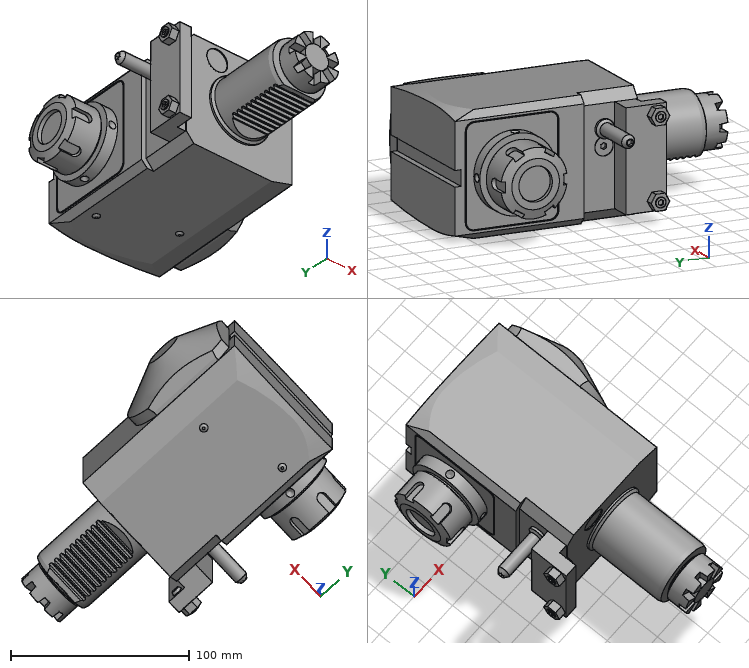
import cadquery as cq
import math


BODY_LENGTH = 116.1
BODY_HALF_HEIGHT = 37.7
BODY_LEFT = -42.1
BODY_RIGHT = 38.8
SIDE_HALF_HEIGHT = 33.5
LEFT_CHAMFER = BODY_HALF_HEIGHT - SIDE_HALF_HEIGHT
SLOPE_START = 23.7
RIGHT_HALF_HEIGHT = 33.1
RELIEF_LENGTH = 35.1
RELIEF_DEPTH = 3.3
RELIEF_HALF_HEIGHT = 31.3
RELIEF_CHAMFER = 5.5
KEY_HEIGHT = 9.8
KEY_DEPTH = 3.9

CROWN_X = -14.7
CROWN_HEIGHT = 36.8
CROWN_LEFT_RADIUS = 114.0
CROWN_RIGHT_RADIUS = 392.0
CROWN_OVERHANG = 18.4
BEVEL_SLOPE = 0.24
BEVEL_LENGTH = 27.6
CLEARANCE_HEIGHT = 73.6

SPINDLE_Y = 80.2
PANEL_LENGTH = 58.5
PANEL_HEIGHT = 63.8
PANEL_CORNER = 5.5
PANEL_GROOVE = 0.5
PANEL_GROOVE_DEPTH = 0.4
FLANGE_RADIUS = 24.1
FLANGE_END = -49.9
DIMPLE_RADIUS = 2.5
DIMPLE_DEPTH = 2.8
DIMPLE_COUNT = 4
NECK_RADIUS = 19.3
NUT_RADIUS = 20.8
NUT_START = -51.3
NUT_END = -71.8
NUT_SHOULDER = -69.7
NUT_NOSE_RADIUS = 14.9
NUT_BORE_RADIUS = 10.5
NUT_BORE_DEPTH = 2.8
NUT_SLOT_COUNT = 6
NUT_SLOT_WIDTH = 6.5
NUT_SLOT_FLOOR = 18.2
NUT_SLOT_END = -58.1

CAP_RADIUS = 40.3
CAP_RIM = 45.0
CAP_END = 58.9
CAP_END_RADIUS = 10.5
CAP_BACK_FLAT = 31.6
CAP_HALF_HEIGHT = 32.8
CAP_TAPER_START = 41.0
CAP_TAPER = 0.2

SHANK_RADIUS = 20.2
SHANK_LENGTH = 52.6
SHANK_CHAMFER = 0.7
SHANK_END_BEVEL = 2.5
COLLAR_RADIUS = 21.7
COLLAR_LENGTH = 1.3
RACK_LEVEL = 15.8
RACK_START = 9.2
RACK_DEPTH = 1.5
RACK_FLOOR = 1.5
RACK_MOUTH = 3.3
RACK_FIRST = 11.8
RACK_LAST = 47.7
RACK_COUNT = 10
RACK_PITCH = (RACK_LAST - RACK_FIRST) / (RACK_COUNT - 1)

TIP_NECK_RADIUS = 13.2
TIP_NUT_RADIUS = 16.2
TIP_NUT_START = 54.0
TIP_NUT_END = 67.9
TIP_CHAMFER = 0.5
TIP_SLOT_COUNT = 8
TIP_SLOT_DEPTH = 5.0
TIP_SLOT_FLOOR = 4.2
TIP_SLOT_MOUTH = 5.5
TIP_HUB_RADIUS = 8.5

RECESS_X = -16.0
RECESS_Z = 27.6
RECESS_RADIUS = 7.5
RECESS_DEPTH = 0.7

BRACKET_LEFT = -53.0
BRACKET_BACK = 14.4
BRACKET_STEP = 0.7
BRACKET_FRONT = -11.2
BRACKET_THICKNESS = 8.5
BOLT_Y = -4.8
BOLT_Z = 25.0
HEX_FLATS = 10.1
HEX_HEIGHT = 5.2
STUD_RADIUS = 3.1
STUD_PROUD = 0.7
STUD_BACK = 1.8
STUD_TIP_RADIUS = 2.4
STUD_SOCKET = 3.1
STUD_SOCKET_DEPTH = 1.1

PIN_Y = 21.0
PIN_Z = 16.5
PIN_RADIUS = 4.0
PIN_TIP = -71.8
PIN_TIP_RADIUS = 2.2
PIN_TIP_LENGTH = 2.5
PIN_COLLAR_RADIUS = 5.7
PIN_COLLAR_LENGTH = 1.7
PIN_CONE_LENGTH = 1.3
SCREW_Z = 6.0
SCREW_RADIUS = 5.7
SCREW_RECESS = 0.4
SOCKET_FLATS = 3.5
SOCKET_DEPTH = 2.2

PLUG_POSITIONS = [(-30.2, 88.9), (16.5, 72.0)]
PLUG_RADIUS = 2.4
PLUG_TIP_RADIUS = 0.7
PLUG_HEIGHT = 1.1

HEX_CORNER_RATIO = 2 / math.sqrt(3)
OVERLAP = 1.8

relief_left = BODY_LEFT + RELIEF_DEPTH


def left_facing(x, y, z):
    """Plane at x facing -X, with local x along -Y and local y along Z."""
    return cq.Workplane(cq.Plane(origin=(x, y, z), xDir=(0, -1, 0), normal=(-1, 0, 0)))


def turned_about_x(points, y, z):
    """Revolve (x, radius) points about the line parallel to X through (y, z)."""
    plane = cq.Workplane("XY", origin=(0, y, z))
    return plane.polyline(points).close().revolve(360, (0, 0, 0), (1, 0, 0))


def turned_about_shank(points):
    """Revolve (radius, distance in front of the mounting face) points about Y."""
    profile = [(radius, -distance) for radius, distance in points]
    return cq.Workplane("XY").polyline(profile).close().revolve(360, (0, 0, 0), (0, 1, 0))


def body_block(left, side_height, chamfer, length):
    """Body section with chamfered left edges and a tapering right side, from Y = 0 backwards."""
    upper = [
        (left, side_height),
        (left + chamfer, BODY_HALF_HEIGHT),
        (SLOPE_START, BODY_HALF_HEIGHT),
        (BODY_RIGHT, RIGHT_HALF_HEIGHT),
    ]
    lower = [(x, -z) for x, z in reversed(upper)]
    return cq.Workplane("XZ").polyline(upper + lower).close().extrude(-length)


def crown_height(x, radius):
    """Height of the crown arc at x."""
    return CROWN_HEIGHT - radius + math.sqrt(radius**2 - (x - CROWN_X) ** 2)


def crown_wire(workplane, rise):
    """Outline above the two crown arcs, lifted by rise."""
    left = BODY_LEFT - CROWN_OVERHANG
    right = BODY_RIGHT + CROWN_OVERHANG
    left_middle = (left + CROWN_X) / 2
    right_middle = (right + CROWN_X) / 2
    return (
        workplane.moveTo(left, crown_height(left, CROWN_LEFT_RADIUS) + rise)
        .threePointArc(
            (left_middle, crown_height(left_middle, CROWN_LEFT_RADIUS) + rise),
            (CROWN_X, CROWN_HEIGHT + rise),
        )
        .threePointArc(
            (right_middle, crown_height(right_middle, CROWN_RIGHT_RADIUS) + rise),
            (right, crown_height(right, CROWN_RIGHT_RADIUS) + rise),
        )
        .lineTo(right, CLEARANCE_HEIGHT)
        .lineTo(left, CLEARANCE_HEIGHT)
        .close()
    )


def crown_cutter():
    """Material above the bevelled crown at the back of the body."""
    back = crown_wire(cq.Workplane("XZ", origin=(0, BODY_LENGTH, 0)), 0)
    both = crown_wire(back.workplane(offset=BEVEL_LENGTH), BEVEL_LENGTH * BEVEL_SLOPE)
    return both.loft(ruled=True)


def make_body():
    """Body with set-back front stretch, crowned back bevels, keyway and face recess."""
    body = body_block(BODY_LEFT, SIDE_HALF_HEIGHT, LEFT_CHAMFER, BODY_LENGTH)
    relief = cq.Workplane("XY", origin=(BODY_LEFT, 0, 0)).box(
        BODY_RIGHT - BODY_LEFT, RELIEF_LENGTH, 2 * CLEARANCE_HEIGHT, centered=(False, False, True)
    )
    front = body_block(relief_left, RELIEF_HALF_HEIGHT, RELIEF_CHAMFER, RELIEF_LENGTH)
    body = body.cut(relief).union(front)
    cutter = crown_cutter()
    body = body.cut(cutter).cut(cutter.mirror("XY"))
    keyway = cq.Workplane("XY", origin=(0, BODY_LENGTH, 0)).box(
        2 * CLEARANCE_HEIGHT, 2 * KEY_DEPTH, KEY_HEIGHT
    )
    recess = (
        cq.Workplane("XZ", origin=(RECESS_X, 0, RECESS_Z))
        .circle(RECESS_RADIUS)
        .extrude(-RECESS_DEPTH)
    )
    return body.cut(keyway).cut(recess)


def panel_groove():
    """Fine rounded-rectangle groove around the spindle flange."""
    def block(inset):
        return (
            left_facing(BODY_LEFT, SPINDLE_Y, 0)
            .rect(PANEL_LENGTH - 2 * inset, PANEL_HEIGHT - 2 * inset)
            .extrude(-PANEL_GROOVE_DEPTH)
            .edges("|X")
            .fillet(PANEL_CORNER - inset)
        )

    return block(0).cut(block(PANEL_GROOVE))


def make_spindle():
    """Flange with conical dimples, neck and slotted clamping nut."""
    spindle = turned_about_x(
        [
            (BODY_LEFT + OVERLAP, 0),
            (BODY_LEFT + OVERLAP, FLANGE_RADIUS),
            (FLANGE_END, FLANGE_RADIUS),
            (FLANGE_END, NECK_RADIUS),
            (NUT_START, NECK_RADIUS),
            (NUT_START, NUT_RADIUS),
            (NUT_SHOULDER, NUT_RADIUS),
            (NUT_END, NUT_NOSE_RADIUS),
            (NUT_END, NUT_BORE_RADIUS),
            (NUT_END + NUT_BORE_DEPTH, NUT_BORE_RADIUS),
            (NUT_END + NUT_BORE_DEPTH, 0),
        ],
        SPINDLE_Y,
        0,
    )
    slot_length = 2 * (NUT_SLOT_END - NUT_END)
    slot = (
        cq.Workplane("XY", origin=(NUT_END, SPINDLE_Y, NUT_SLOT_FLOOR))
        .slot2D(slot_length, NUT_SLOT_WIDTH)
        .extrude(NUT_RADIUS)
    )
    axis = ((0, SPINDLE_Y, 0), (1, SPINDLE_Y, 0))
    for i in range(NUT_SLOT_COUNT):
        spindle = spindle.cut(slot.rotate(*axis, 90 + i * 360 / NUT_SLOT_COUNT))
    flange_middle = (BODY_LEFT + FLANGE_END) / 2
    dimple = cq.Workplane(
        cq.Solid.makeCone(
            0,
            DIMPLE_RADIUS,
            DIMPLE_DEPTH,
            pnt=cq.Vector(flange_middle, SPINDLE_Y, FLANGE_RADIUS - DIMPLE_DEPTH),
        )
    )
    for i in range(DIMPLE_COUNT):
        spindle = spindle.cut(dimple.rotate(*axis, i * 360 / DIMPLE_COUNT))
    return spindle


def make_cap():
    """Conical cap, flattened at the back and on its tapering top and bottom."""
    start = BODY_RIGHT - OVERLAP
    cap = turned_about_x(
        [
            (start, 0),
            (start, CAP_RADIUS),
            (CAP_RIM, CAP_RADIUS),
            (CAP_END, CAP_END_RADIUS),
            (CAP_END, 0),
        ],
        SPINDLE_Y,
        0,
    )
    end_height = CAP_HALF_HEIGHT - CAP_TAPER * (CAP_END - CAP_TAPER_START)
    upper = [
        (start, CAP_HALF_HEIGHT),
        (CAP_TAPER_START, CAP_HALF_HEIGHT),
        (CAP_END, end_height),
    ]
    lower = [(x, -z) for x, z in reversed(upper)]
    envelope = (
        cq.Workplane("XZ", origin=(0, SPINDLE_Y + CAP_BACK_FLAT, 0))
        .polyline(upper + lower)
        .close()
        .extrude(CAP_BACK_FLAT + CAP_RADIUS)
    )
    return cap.intersect(envelope)


def make_shank():
    """Shank with base collar, rack on its underside and a slotted nut on its end."""
    shank = turned_about_shank(
        [
            (0, -OVERLAP),
            (COLLAR_RADIUS, -OVERLAP),
            (COLLAR_RADIUS, COLLAR_LENGTH),
            (SHANK_RADIUS, COLLAR_LENGTH + COLLAR_RADIUS - SHANK_RADIUS),
            (SHANK_RADIUS, SHANK_LENGTH - SHANK_END_BEVEL),
            (SHANK_RADIUS - SHANK_CHAMFER, SHANK_LENGTH),
            (0, SHANK_LENGTH),
        ]
    )
    run_out = COLLAR_RADIUS - RACK_LEVEL
    flat = (
        cq.Workplane("YZ", origin=(-COLLAR_RADIUS, 0, 0))
        .moveTo(-RACK_START, -RACK_LEVEL)
        .lineTo(-RACK_START + run_out, -COLLAR_RADIUS)
        .lineTo(-TIP_NUT_START, -COLLAR_RADIUS)
        .lineTo(-TIP_NUT_START, -RACK_LEVEL)
        .close()
        .extrude(2 * COLLAR_RADIUS)
    )
    shank = shank.cut(flat)
    for i in range(RACK_COUNT):
        middle = -RACK_LAST + i * RACK_PITCH
        groove = (
            cq.Workplane("YZ", origin=(-COLLAR_RADIUS, middle, -RACK_LEVEL))
            .polyline(
                [
                    (-RACK_MOUTH / 2, 0),
                    (-RACK_FLOOR / 2, RACK_DEPTH),
                    (RACK_FLOOR / 2, RACK_DEPTH),
                    (RACK_MOUTH / 2, 0),
                ]
            )
            .close()
            .extrude(2 * COLLAR_RADIUS)
        )
        shank = shank.cut(groove)
    return shank.union(make_tip_nut())


def make_tip_nut():
    """Nut with radial face slots that stop at a central hub."""
    nut = turned_about_shank(
        [
            (0, SHANK_LENGTH - OVERLAP),
            (TIP_NECK_RADIUS, SHANK_LENGTH - OVERLAP),
            (TIP_NECK_RADIUS, TIP_NUT_START),
            (TIP_NUT_RADIUS - TIP_CHAMFER, TIP_NUT_START),
            (TIP_NUT_RADIUS, TIP_NUT_START + TIP_CHAMFER),
            (TIP_NUT_RADIUS, TIP_NUT_END),
            (0, TIP_NUT_END),
        ]
    )
    slot = (
        cq.Workplane("XY")
        .polyline(
            [
                (-TIP_SLOT_MOUTH / 2, -TIP_NUT_END),
                (-TIP_SLOT_FLOOR / 2, TIP_SLOT_DEPTH - TIP_NUT_END),
                (TIP_SLOT_FLOOR / 2, TIP_SLOT_DEPTH - TIP_NUT_END),
                (TIP_SLOT_MOUTH / 2, -TIP_NUT_END),
            ]
        )
        .close()
        .extrude(TIP_NUT_RADIUS + OVERLAP)
    )
    hub = (
        cq.Workplane("XZ", origin=(0, -TIP_NUT_END, 0))
        .circle(TIP_HUB_RADIUS)
        .extrude(-TIP_SLOT_DEPTH)
    )
    for i in range(TIP_SLOT_COUNT):
        nut = nut.cut(slot.rotate((0, 0, 0), (0, 1, 0), i * 360 / TIP_SLOT_COUNT))
    return nut.union(hub)


def make_bracket():
    """L-shaped stop bracket on the relieved left side."""
    inner = BRACKET_LEFT + BRACKET_THICKNESS
    bracket = (
        cq.Workplane("XY", origin=(0, 0, -RELIEF_HALF_HEIGHT))
        .polyline(
            [
                (BRACKET_LEFT, BRACKET_BACK),
                (relief_left + OVERLAP, BRACKET_BACK),
                (relief_left + OVERLAP, BRACKET_STEP),
                (inner, BRACKET_STEP),
                (inner, BRACKET_FRONT),
                (BRACKET_LEFT, BRACKET_FRONT),
            ]
        )
        .close()
        .extrude(2 * RELIEF_HALF_HEIGHT)
    )
    for z in (-BOLT_Z, BOLT_Z):
        bracket = bracket.union(make_bolt(z))
    return bracket


def make_bolt(z):
    """Hexagon nut on a socketed stud that shows on both sides of the bracket."""
    inner = BRACKET_LEFT + BRACKET_THICKNESS
    head = BRACKET_LEFT - HEX_HEIGHT
    hexagon = (
        left_facing(BRACKET_LEFT, BOLT_Y, z)
        .polygon(6, HEX_FLATS * HEX_CORNER_RATIO)
        .extrude(HEX_HEIGHT)
    )
    stud = turned_about_x(
        [
            (head - STUD_PROUD, 0),
            (head - STUD_PROUD, STUD_RADIUS),
            (inner, STUD_RADIUS),
            (inner + STUD_BACK, STUD_TIP_RADIUS),
            (inner + STUD_BACK, 0),
        ],
        BOLT_Y,
        z,
    )
    socket = hex_socket(head - STUD_PROUD, BOLT_Y, z, STUD_SOCKET, STUD_SOCKET_DEPTH)
    return hexagon.union(stud).cut(socket)


def hex_socket(x, y, z, flats, depth):
    """Hexagon socket sunk from a left-facing surface, one corner pointing down."""
    prism = left_facing(x, y, z).polygon(6, flats * HEX_CORNER_RATIO).extrude(-depth)
    return prism.rotate((x, y, z), (x + 1.8, y, z), 30)


def make_pin():
    """Pointed locating pin with a conical foot."""
    collar = relief_left - PIN_COLLAR_LENGTH
    pin = turned_about_x(
        [
            (PIN_TIP, 0),
            (PIN_TIP, PIN_TIP_RADIUS),
            (PIN_TIP + PIN_TIP_LENGTH, PIN_RADIUS),
            (collar - PIN_CONE_LENGTH, PIN_RADIUS),
            (collar, PIN_COLLAR_RADIUS),
            (relief_left + OVERLAP, PIN_COLLAR_RADIUS),
            (relief_left + OVERLAP, 0),
        ],
        PIN_Y,
        PIN_Z,
    )
    return pin.cut(hex_socket(PIN_TIP, PIN_Y, PIN_Z, SOCKET_FLATS, SOCKET_DEPTH))


def screw_recess():
    """Shallow seat of the flush screw with its hexagon socket."""
    seat = left_facing(relief_left, PIN_Y, SCREW_Z).circle(SCREW_RADIUS).extrude(-SCREW_RECESS)
    return seat.union(hex_socket(relief_left, PIN_Y, SCREW_Z, SOCKET_FLATS, SOCKET_DEPTH))


def make_plug(x, y):
    """Small tapered plug under the body."""
    profile = [
        (0, OVERLAP - BODY_HALF_HEIGHT),
        (PLUG_RADIUS, OVERLAP - BODY_HALF_HEIGHT),
        (PLUG_RADIUS, -BODY_HALF_HEIGHT),
        (PLUG_TIP_RADIUS, -BODY_HALF_HEIGHT - PLUG_HEIGHT),
        (0, -BODY_HALF_HEIGHT - PLUG_HEIGHT),
    ]
    plane = cq.Workplane("XZ", origin=(x, y, 0))
    return plane.polyline(profile).close().revolve(360, (0, 0, 0), (0, 1, 0))


result = make_body().cut(panel_groove()).cut(screw_recess())
for feature in (make_spindle(), make_cap(), make_shank(), make_bracket(), make_pin()):
    result = result.union(feature)
for plug_x, plug_y in PLUG_POSITIONS:
    result = result.union(make_plug(plug_x, plug_y))